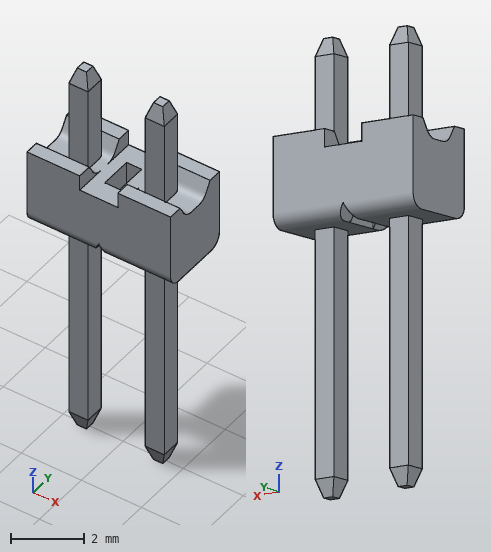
import cadquery as cq

pin_length = 12.83
pin_pitch = 2.54
pin_width = 0.64
tip_width = 0.31
tip_length = 0.51

body_length = 4.79
body_width = 2.34
body_height = 2.57
body_top = pin_length - 2.78
body_bottom = body_top - body_height
edge_radius = 0.4

recess_depth = 0.51
notch_length = 1.27
groove_top_width = 1.44
groove_floor_width = 0.8
groove_radius = 0.4
window_length = 0.5
window_width = 1.04

break_width = 0.49
break_depth = 0.42


def make_pin(x):
    """Square pin with a tapered tip at each end."""
    shank = (
        cq.Workplane("XY")
        .workplane(offset=tip_length)
        .rect(pin_width, pin_width)
        .extrude(pin_length - 2 * tip_length)
    )
    bottom_tip = (
        cq.Workplane("XY")
        .rect(tip_width, tip_width)
        .workplane(offset=tip_length)
        .rect(pin_width, pin_width)
        .loft(ruled=True)
    )
    top_tip = bottom_tip.mirror("XY").translate((0, 0, pin_length))
    return shank.union(bottom_tip).union(top_tip).translate((x, 0, 0))


def make_groove():
    """Lengthwise trough with sloping sides and rounded floor corners."""
    floor = body_top - recess_depth
    return (
        cq.Workplane("YZ")
        .moveTo(-groove_top_width / 2, body_top)
        .lineTo(-groove_floor_width / 2, floor)
        .lineTo(groove_floor_width / 2, floor)
        .lineTo(groove_top_width / 2, body_top)
        .close()
        .extrude(body_length / 2, both=True)
        .edges("|X and <Z")
        .fillet(groove_radius)
    )


def make_break_line():
    """V-shaped cutter running across the body width."""
    return (
        cq.Workplane("XZ")
        .moveTo(-break_width / 2, body_bottom)
        .lineTo(0, body_bottom + break_depth)
        .lineTo(break_width / 2, body_bottom)
        .close()
        .extrude(body_width / 2, both=True)
    )


def make_body():
    """Block with rounded lower edges, top recesses, window and break line."""
    centred_base = (True, True, False)
    block = (
        cq.Workplane("XY")
        .box(body_length, body_width, body_height, centered=centred_base)
        .edges("|X and <Z")
        .fillet(edge_radius)
        .translate((0, 0, body_bottom))
    )
    notch = (
        cq.Workplane("XY")
        .box(notch_length, body_width, recess_depth, centered=centred_base)
        .translate((0, 0, body_top - recess_depth))
    )
    window = (
        cq.Workplane("XY")
        .box(window_length, window_width, body_height, centered=centred_base)
        .translate((0, 0, body_bottom))
    )
    return block.cut(notch).cut(make_groove()).cut(window).cut(make_break_line())


result = make_body()
for side in (-1, 1):
    result = result.union(make_pin(side * pin_pitch / 2))